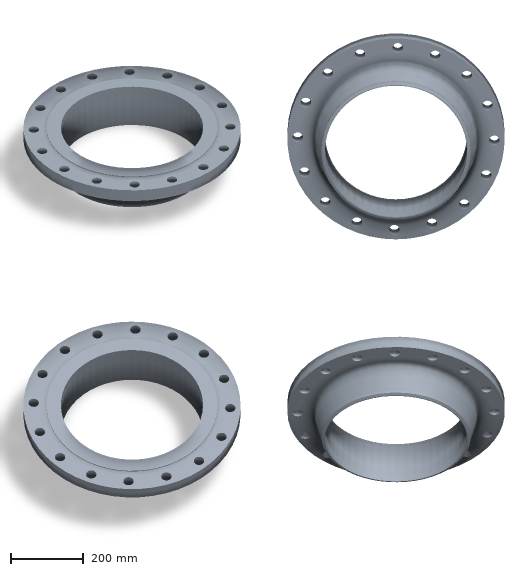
import cadquery as cq
import math

flange_diameter = 597.0
total_height = 128.5

face_diameter = 470.5
face_height = 2.5
flange_thickness = 36.0

bolt_count = 16
bolt_circle_diameter = 540.0
bolt_hole_diameter = 28.5

bore_diameter = 390.5
hub_top_diameter = 453.5
weld_end_diameter = 409.5
weld_end_height = 13.0
bevel_height = 4.0
bevel_width = 7.0
root_radius = 9.0

flange_top = total_height - face_height
flange_bottom = flange_top - flange_thickness


def flange_and_hub():
    """Revolve the flange, raised face, hub and bevelled weld end around Z."""
    bore_radius = bore_diameter / 2
    weld_end_radius = weld_end_diameter / 2
    hub_top_radius = hub_top_diameter / 2

    hub_angle = math.atan2(hub_top_radius - weld_end_radius, flange_bottom - weld_end_height)
    corner_angle = math.pi / 2 + hub_angle
    tangent_length = root_radius / math.tan(corner_angle / 2)
    center_r = hub_top_radius + tangent_length
    center_z = flange_bottom - root_radius
    cone_end = (
        center_r - root_radius * math.cos(hub_angle),
        center_z + root_radius * math.sin(hub_angle),
    )
    middle_angle = (math.pi / 2 + math.pi - hub_angle) / 2
    fillet_middle = (
        center_r + root_radius * math.cos(middle_angle),
        center_z + root_radius * math.sin(middle_angle),
    )
    return (
        cq.Workplane("XZ")
        .moveTo(bore_radius, 0)
        .lineTo(weld_end_radius - bevel_width, 0)
        .lineTo(weld_end_radius, bevel_height)
        .lineTo(weld_end_radius, weld_end_height)
        .lineTo(*cone_end)
        .threePointArc(fillet_middle, (center_r, flange_bottom))
        .lineTo(flange_diameter / 2, flange_bottom)
        .lineTo(flange_diameter / 2, flange_top)
        .lineTo(face_diameter / 2, flange_top)
        .lineTo(face_diameter / 2, total_height)
        .lineTo(bore_radius, total_height)
        .close()
        .revolve(360, (0, 0, 0), (0, 1, 0))
    )


def bolt_holes():
    """Through-hole cutters spaced evenly on the bolt circle."""
    return (
        cq.Workplane("XY")
        .workplane(offset=flange_bottom)
        .polarArray(bolt_circle_diameter / 2, 0, 360, bolt_count)
        .circle(bolt_hole_diameter / 2)
        .extrude(flange_thickness)
    )


result = flange_and_hub().cut(bolt_holes())